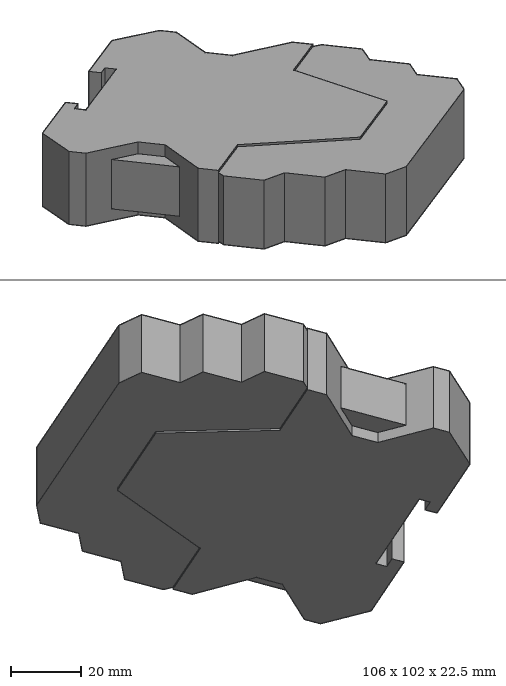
import cadquery as cq

overall_length = 106.0
overall_width = 102.0
body_thickness = 22.5
cover_thickness = 21.2

rail_side_half_width = 36.0
shoulder_start_x = 11.0
shoulder_end_x = 16.0
shoulder_half_width = 47.0
waist_start_x = 28.0
waist_end_x = 36.0
waist_half_width = 34.8
hip_start_x = 49.8
hip_half_width = 49.0
nose_base_half_width = 29.0
nose_tip_x = 87.8
nose_tip_half_width = 14.0

cover_back_x = 55.8

rail_slot_depth = 7.1
rail_lip_thickness = 3.75
rail_mouth_width = 24.0
rail_undercut_width = 31.6

block_start_x = 21.9
block_end_x = 42.0
block_half_width = 41.0
block_thickness = 15.2

cover_back_bevel_length = 2.1
terrace_length = 11.9
terrace_bevel_length = 4.1
terrace_half_widths = (overall_width / 2, 44.0, 37.0, 30.0)


def mirrored_plate(half_outline, thickness):
    """Plate centred on Z = 0 whose outline is half_outline plus its mirror image about Y = 0."""
    other_half = [(x, -y) for x, y in reversed(half_outline)]
    return (
        cq.Workplane("XY")
        .polyline(half_outline + other_half)
        .close()
        .extrude(thickness / 2, both=True)
    )


def rectangular_block(start_x, end_x, width, thickness):
    """Box between two X positions, centred on Y = 0 and Z = 0."""
    length = end_x - start_x
    return cq.Workplane("XY").box(length, width, thickness).translate((start_x + length / 2, 0, 0))


def make_body():
    """Full-thickness body with waist notches and a tapered nose reaching into the cover."""
    return mirrored_plate(
        [
            (0, rail_side_half_width),
            (shoulder_start_x, shoulder_half_width),
            (shoulder_end_x, shoulder_half_width),
            (waist_start_x, waist_half_width),
            (waist_end_x, waist_half_width),
            (hip_start_x, hip_half_width),
            (cover_back_x, hip_half_width),
            (cover_back_x, nose_base_half_width),
            (nose_tip_x, nose_tip_half_width),
        ],
        body_thickness,
    )


def make_cover():
    """Slightly thinner front cover with terraced sides."""
    bevel_end_x = cover_back_x + cover_back_bevel_length
    step_length = terrace_length + terrace_bevel_length
    terrace_count = len(terrace_half_widths) - 1
    first_terrace_x = overall_length - terrace_count * step_length
    outline = [
        (cover_back_x, hip_half_width),
        (bevel_end_x, overall_width / 2),
    ]
    for step in range(terrace_count):
        bevel_start_x = first_terrace_x + step * step_length + terrace_length
        outline.append((bevel_start_x, terrace_half_widths[step]))
        outline.append((bevel_start_x + terrace_bevel_length, terrace_half_widths[step + 1]))
    return mirrored_plate(outline, cover_thickness)


def make_rail_slot():
    """Cutter for the rail slot: a narrow mouth with a wider undercut behind the lips."""
    mouth = rectangular_block(0, rail_slot_depth, rail_mouth_width, body_thickness)
    undercut = rectangular_block(
        rail_lip_thickness, rail_slot_depth, rail_undercut_width, body_thickness
    )
    return mouth.union(undercut)


def make_connector_blocks():
    """One bar across the body whose ends show as a block in each waist notch."""
    return rectangular_block(block_start_x, block_end_x, 2 * block_half_width, block_thickness)


result = make_body().union(make_cover()).union(make_connector_blocks()).cut(make_rail_slot())